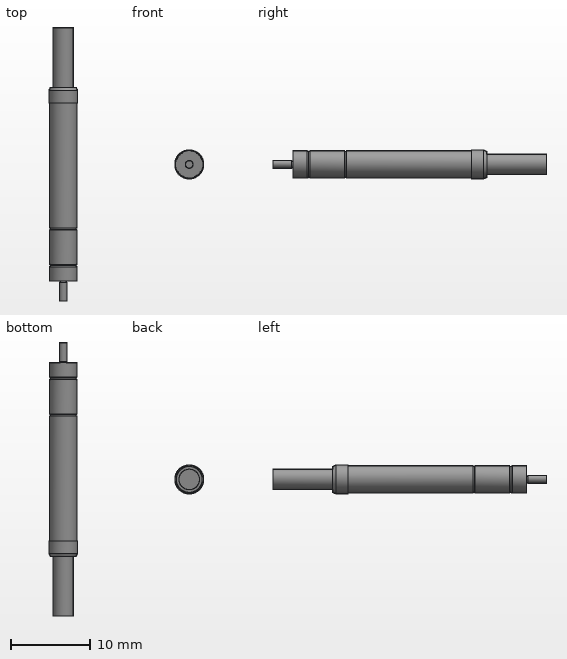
import cadquery as cq

total_length = 34.5

tube_diameter = 2.6
shoulder_front_diameter = 3.62
shoulder_back_diameter = 3.28
collar_diameter = 3.65
sleeve_diameter = 3.5
pin_diameter = 1.0
neck_front_diameter = 0.93
neck_back_diameter = 0.72

pin_back = 2.35
sleeve_front = 2.52
collar_front = 25.0
collar_back = 26.55
shoulder_back = 26.98

groove_depth = 0.1
front_groove_front = 4.3
front_groove_floor = 4.5
front_groove_back = 4.65
rear_groove_front = 9.0
rear_groove_floor = 9.07
rear_groove_back = 9.25

pin_radius = pin_diameter / 2
neck_front_radius = neck_front_diameter / 2
neck_back_radius = neck_back_diameter / 2
sleeve_radius = sleeve_diameter / 2
collar_radius = collar_diameter / 2
tube_radius = tube_diameter / 2
shoulder_front_radius = shoulder_front_diameter / 2
shoulder_back_radius = shoulder_back_diameter / 2
groove_floor_radius = sleeve_radius - groove_depth


def cylinder(radius, front, back):
    """Round bar on the Y axis between two distances from the pin tip."""
    return cq.Workplane("XZ", origin=(0, front, 0)).circle(radius).extrude(front - back)


def groove_ring(front, floor, back):
    """Ring that cuts a groove: the front wall slopes down to the floor, the back wall is square."""
    profile = (
        cq.Workplane("XY")
        .moveTo(sleeve_radius, front)
        .lineTo(groove_floor_radius, floor)
        .lineTo(groove_floor_radius, back)
        .lineTo(collar_radius, back)
        .lineTo(collar_radius, front)
        .close()
    )
    return profile.revolve(360, (0, 0, 0), (0, 1, 0))


def cone(front_radius, back_radius, front, back):
    """Solid taper on the Y axis between two distances from the pin tip."""
    profile = (
        cq.Workplane("XY")
        .moveTo(0, front)
        .lineTo(front_radius, front)
        .lineTo(back_radius, back)
        .lineTo(0, back)
        .close()
    )
    return profile.revolve(360, (0, 0, 0), (0, 1, 0))


pin = cylinder(pin_radius, 0, pin_back)
neck = cone(neck_front_radius, neck_back_radius, pin_back, sleeve_front)
sleeve = cylinder(sleeve_radius, sleeve_front, collar_front)
sleeve = sleeve.cut(groove_ring(front_groove_front, front_groove_floor, front_groove_back))
sleeve = sleeve.cut(groove_ring(rear_groove_front, rear_groove_floor, rear_groove_back))
collar = cylinder(collar_radius, collar_front, collar_back)
shoulder = cone(shoulder_front_radius, shoulder_back_radius, collar_back, shoulder_back)
tube = cylinder(tube_radius, collar_back, total_length)

body = pin.union(neck).union(sleeve).union(collar).union(shoulder).union(tube)

result = body.translate((0, -total_length / 2, 0))